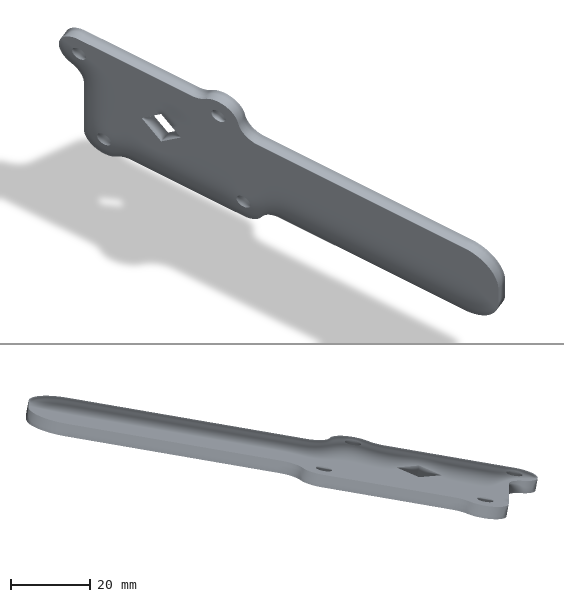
import cadquery as cq
import math

LENGTH = 130.2
HEIGHT = 46.0
THICKNESS = 3.3
BOSS_RADIUS = 6.0
HOLE_DIAMETER = 4.2
NECK_RADIUS = BOSS_RADIUS
ARM_WIDTH = 26.2
ARM_CORNER_RADIUS = 10.0
SQUARE_DIAGONAL = 11.6

SIDE_X, SIDE_Z = 24.3, 13.9
END_X = 16.9
END_Z = HEIGHT / 2 - BOSS_RADIUS
upper_left = (-SIDE_X, SIDE_Z)
upper_right = (END_X, END_Z)
lower_right = (SIDE_X, -SIDE_Z)
lower_left = (-END_X, -END_Z)
hole_centres = [upper_left, upper_right, lower_right, lower_left]

body_top = SIDE_Z + BOSS_RADIUS
body_left = -END_X - BOSS_RADIUS
arm_half_width = ARM_WIDTH / 2
arm_end = LENGTH - SIDE_X - BOSS_RADIUS
arm_corner_x = arm_end - ARM_CORNER_RADIUS
arm_corner_z = arm_half_width - ARM_CORNER_RADIUS


def neck_offset(across):
    """Distance along an edge from boss centre to neck centre, given their offset across it."""
    return math.sqrt((BOSS_RADIUS + NECK_RADIUS) ** 2 - across ** 2)


def touch_point(boss, neck):
    """Point where a boss arc meets its neck arc, on the line between their centres."""
    share = BOSS_RADIUS / (BOSS_RADIUS + NECK_RADIUS)
    return tuple(b + share * (n - b) for b, n in zip(boss, neck))


top_neck_z = body_top + NECK_RADIUS
top_neck = (END_X - neck_offset(top_neck_z - END_Z), top_neck_z)
bottom_neck = (-top_neck[0], -top_neck[1])

arm_neck_z = arm_half_width + NECK_RADIUS
upper_arm_neck = (END_X + neck_offset(arm_neck_z - END_Z), arm_neck_z)
lower_arm_neck = (SIDE_X + neck_offset(arm_neck_z - SIDE_Z), -arm_neck_z)

left_neck_x = body_left - NECK_RADIUS
left_neck = (left_neck_x, SIDE_Z - neck_offset(left_neck_x + SIDE_X))

outline = (
    cq.Workplane("XZ", origin=(0, THICKNESS / 2, 0))
    .moveTo(-SIDE_X, body_top)
    .lineTo(top_neck[0], body_top)
    .radiusArc(touch_point(upper_right, top_neck), -NECK_RADIUS)
    .radiusArc(touch_point(upper_right, upper_arm_neck), BOSS_RADIUS)
    .radiusArc((upper_arm_neck[0], arm_half_width), -NECK_RADIUS)
    .lineTo(arm_corner_x, arm_half_width)
    .radiusArc((arm_end, arm_corner_z), ARM_CORNER_RADIUS)
    .lineTo(arm_end, -arm_corner_z)
    .radiusArc((arm_corner_x, -arm_half_width), ARM_CORNER_RADIUS)
    .lineTo(lower_arm_neck[0], -arm_half_width)
    .radiusArc(touch_point(lower_right, lower_arm_neck), -NECK_RADIUS)
    .radiusArc((SIDE_X, -body_top), BOSS_RADIUS)
    .lineTo(bottom_neck[0], -body_top)
    .radiusArc(touch_point(lower_left, bottom_neck), -NECK_RADIUS)
    .radiusArc((body_left, -END_Z), BOSS_RADIUS)
    .lineTo(body_left, left_neck[1])
    .radiusArc(touch_point(upper_left, left_neck), -NECK_RADIUS)
    .radiusArc((-SIDE_X, body_top), BOSS_RADIUS)
    .close()
)
plate = outline.extrude(THICKNESS)

cut_plane = cq.Workplane("XZ", origin=(0, THICKNESS / 2, 0))
mounting_holes = cut_plane.pushPoints(hole_centres).circle(HOLE_DIAMETER / 2).extrude(THICKNESS)
square_hole = cut_plane.polygon(4, SQUARE_DIAGONAL).extrude(THICKNESS)

result = plate.cut(mounting_holes).cut(square_hole)